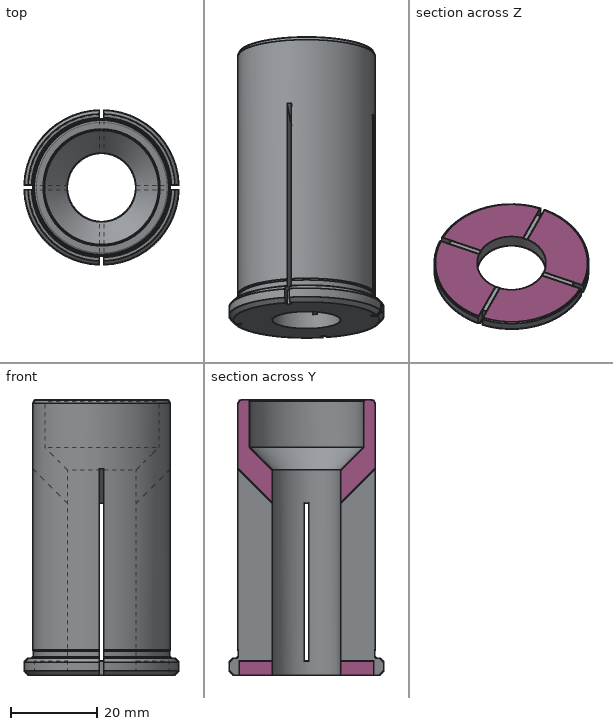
import cadquery as cq

height = 64.0
body_radius = 32.0 / 2

rim_bevel_height = 0.9
rim_bevel_width = 0.8
rim_step_drop = 0.1
rim_step_inset = 0.4

flange_radius = 36.0 / 2
flange_height = 4.0
flange_top_chamfer = 0.9
flange_bottom_chamfer = 1.0

groove_top = 5.95
groove_depth = 0.1
groove_taper = 0.4
groove_foot_chamfer = 0.4

hole_radius = 15.9 / 2
bore_radius = 26.5 / 2
bore_floor = 53.0
seat_depth = bore_radius - hole_radius
bore_chamfer = 0.3

slot_width = 1.0
slot_count = 4
slot_top = 48.0
slot_inner_top = slot_top - (body_radius - hole_radius)
foot_height = 3.3
foot_radius = 15.6
slot_clearance = 0.65


def make_sleeve():
    """Revolve the half section, hole and seat included, about Z."""
    groove_radius = body_radius - groove_depth
    return (
        cq.Workplane("XZ")
        .moveTo(hole_radius, 0)
        .lineTo(flange_radius - flange_bottom_chamfer, 0)
        .lineTo(flange_radius, flange_bottom_chamfer)
        .lineTo(flange_radius, flange_height - flange_top_chamfer)
        .lineTo(flange_radius - flange_top_chamfer, flange_height)
        .lineTo(groove_radius + groove_foot_chamfer, flange_height)
        .lineTo(groove_radius, flange_height + groove_foot_chamfer)
        .lineTo(groove_radius, groove_top - groove_taper)
        .lineTo(body_radius, groove_top)
        .lineTo(body_radius, height - rim_bevel_height)
        .lineTo(body_radius - rim_step_inset, height - rim_step_drop)
        .lineTo(body_radius - rim_bevel_width, height)
        .lineTo(bore_radius + bore_chamfer, height)
        .lineTo(bore_radius, height - bore_chamfer)
        .lineTo(bore_radius, bore_floor)
        .lineTo(hole_radius, bore_floor - seat_depth)
        .close()
        .revolve(360, (0, 0, 0), (0, 1, 0))
    )


def make_slot():
    """Slot on the +X side, its upper end sloping down at 45 degrees towards the hole."""
    inner = hole_radius - slot_clearance
    outer = flange_radius + slot_clearance
    return (
        cq.Workplane("XZ")
        .moveTo(foot_radius, -slot_clearance)
        .lineTo(outer, -slot_clearance)
        .lineTo(outer, slot_top + outer - body_radius)
        .lineTo(inner, slot_inner_top - slot_clearance)
        .lineTo(inner, foot_height)
        .lineTo(foot_radius, foot_height)
        .close()
        .extrude(slot_width / 2, both=True)
    )


result = make_sleeve()
slot = make_slot()
for index in range(slot_count):
    angle = index * 360 / slot_count
    result = result.cut(slot.rotate((0, 0, 0), (0, 0, 1), angle))